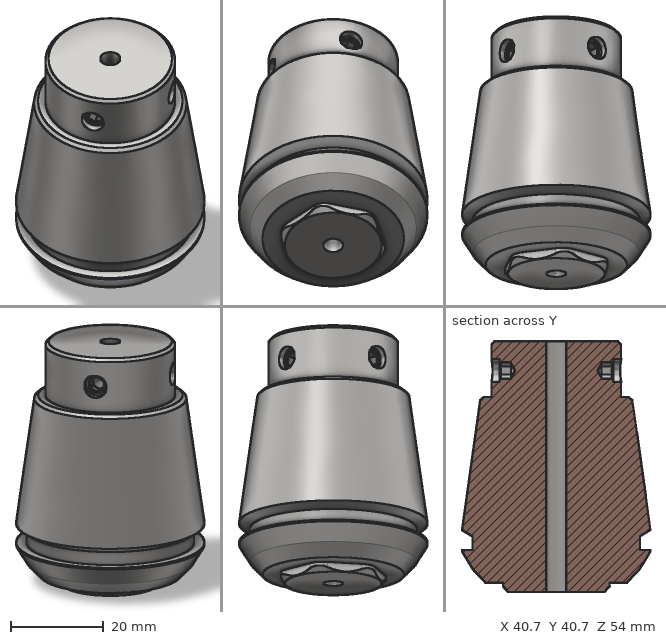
import cadquery as cq
import math

height = 54.0
bore_diameter = 4.25

collar_radius = 20.3
collar_top = 9.05
collar_edge = 8.7
collar_waist_radius = 17.95
collar_waist = 4.8
collar_bottom_radius = 15.25
collar_bottom = 2.0

groove_radius = 18.1
groove_top = 12.0

rim_radius = 20.33
rim_bottom = 13.35
shoulder_radius = 16.4
shoulder = 42.0
shoulder_chamfer_width = 0.85
shoulder_chamfer_height = 0.7

neck_radius = 14.0
neck_chamfer = 0.7

hex_across_flats = 21.0
hex_corner_fillet = 4.0
hex_end_radius = 10.4
hex_chamfer_height = 1.3
hex_chamfer_radius = 11.55

screw_count = 4
screw_height = 47.7
screw_hole_diameter = 4.9
screw_recess = 1.75
socket_across_flats = 3.0
socket_mouth_diameter = 3.7
socket_depth = 2.5
socket_tip_angle = 120.0
socket_turn = 30.0


def make_body():
    """Turned body with the nut collar, groove, flared skirt and neck."""
    profile = (
        cq.Workplane("XZ")
        .moveTo(0, collar_bottom)
        .lineTo(collar_bottom_radius, collar_bottom)
        .lineTo(collar_waist_radius, collar_waist)
        .lineTo(collar_radius, collar_edge)
        .lineTo(collar_radius, collar_top)
        .lineTo(groove_radius, collar_top)
        .lineTo(groove_radius, groove_top)
        .lineTo(rim_radius, rim_bottom)
        .lineTo(shoulder_radius, shoulder - shoulder_chamfer_height)
        .lineTo(shoulder_radius - shoulder_chamfer_width, shoulder)
        .lineTo(neck_radius, shoulder)
        .lineTo(neck_radius, height - neck_chamfer)
        .lineTo(neck_radius - neck_chamfer, height)
        .lineTo(0, height)
        .close()
    )
    return profile.revolve(360, (0, 0, 0), (0, 1, 0))


def hexagon_diameter(across_flats):
    """Distance between opposite corners of a regular hexagon."""
    return across_flats / math.cos(math.radians(30))


def make_hexagon():
    """Hexagon with rounded corners and a conical chamfer on its lower end."""
    prism = (
        cq.Workplane("XY")
        .polygon(6, hexagon_diameter(hex_across_flats))
        .extrude(collar_bottom)
        .edges("|Z")
        .fillet(hex_corner_fillet)
    )
    envelope = (
        cq.Workplane("XZ")
        .lineTo(hex_end_radius, 0)
        .lineTo(hex_chamfer_radius, hex_chamfer_height)
        .lineTo(hex_chamfer_radius, collar_bottom)
        .lineTo(0, collar_bottom)
        .close()
        .revolve(360, (0, 0, 0), (0, 1, 0))
    )
    return prism.intersect(envelope)


def make_inward_cone(radius, depth, start):
    """Cone on the screw axis, pointing at the centre line from the distance start."""
    base = cq.Vector(0, -start, screw_height)
    return cq.Solid.makeCone(radius, 0, depth, base, cq.Vector(0, 1, 0))


def make_screw_cut():
    """Recess and hexagon socket of the set screw on the -Y side."""
    screw_face = neck_radius - screw_recess
    socket_floor = screw_face - socket_depth
    tip_slope = math.tan(math.radians(socket_tip_angle / 2))
    tip_depth = socket_across_flats / 2 / tip_slope
    mouth_radius = socket_mouth_diameter / 2
    recess = (
        cq.Workplane("XZ", origin=(0, -screw_face, screw_height))
        .circle(screw_hole_diameter / 2)
        .extrude(2 * screw_recess)
    )
    socket = (
        cq.Workplane("XZ", origin=(0, -socket_floor, screw_height))
        .transformed(rotate=(0, 0, socket_turn))
        .polygon(6, hexagon_diameter(socket_across_flats))
        .extrude(socket_depth)
    )
    mouth = cq.Workplane("XY").add(make_inward_cone(mouth_radius, mouth_radius, screw_face))
    tip = cq.Workplane("XY").add(make_inward_cone(socket_across_flats / 2, tip_depth, socket_floor))
    return recess.union(socket).union(mouth).union(tip)


result = make_body().union(make_hexagon())
result = result.cut(cq.Workplane("XY").circle(bore_diameter / 2).extrude(height))

screw_cut = make_screw_cut()
for index in range(screw_count):
    result = result.cut(screw_cut.rotate((0, 0, 0), (0, 0, 1), index * 360 / screw_count))